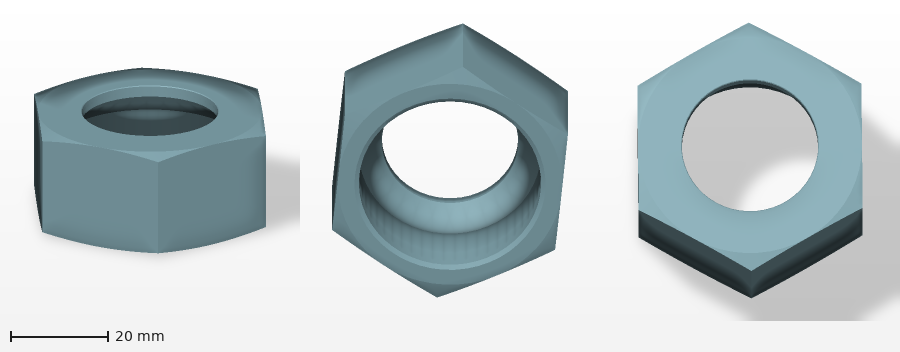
import cadquery as cq
import math

corner_diameter = 53.1
flat_width = corner_diameter * math.cos(math.radians(30))
height = 22.0
corner_bevel_angle = 15.0

bore_radius = 28.0 / 2
wide_bore_radius = 37.4 / 2
rim_chamfer = 0.15
cone_top_depth = 2.4
cone_height = wide_bore_radius - bore_radius

countersink_height = 0.55
countersink_angle = 120.0
countersink_radius = wide_bore_radius + countersink_height * math.tan(math.radians(countersink_angle / 2))


def hexagon_body():
    return cq.Workplane("XY").polygon(6, corner_diameter).extrude(height).rotate((0, 0, 0), (0, 0, 1), 30)


def bevel_envelope():
    """Solid of revolution that bevels the corners at both ends of the hexagon."""
    corner_radius = corner_diameter / 2
    face_radius = flat_width / 2
    bevel_drop = (corner_radius - face_radius) * math.tan(math.radians(corner_bevel_angle))
    return (
        cq.Workplane("XZ")
        .moveTo(0, 0)
        .lineTo(face_radius, 0)
        .lineTo(corner_radius, bevel_drop)
        .lineTo(corner_radius, height - bevel_drop)
        .lineTo(face_radius, height)
        .lineTo(0, height)
        .close()
        .revolve(360, (0, 0), (0, 1))
    )


def opening():
    """Revolved cutter for the countersink, wide bore, cone, narrow bore and rim chamfer."""
    cone_top = height - cone_top_depth
    return (
        cq.Workplane("XZ")
        .moveTo(0, 0)
        .lineTo(countersink_radius, 0)
        .lineTo(wide_bore_radius, countersink_height)
        .lineTo(wide_bore_radius, cone_top - cone_height)
        .lineTo(bore_radius, cone_top)
        .lineTo(bore_radius, height - rim_chamfer)
        .lineTo(bore_radius + rim_chamfer, height)
        .lineTo(0, height)
        .close()
        .revolve(360, (0, 0), (0, 1))
    )


result = hexagon_body().intersect(bevel_envelope()).cut(opening())